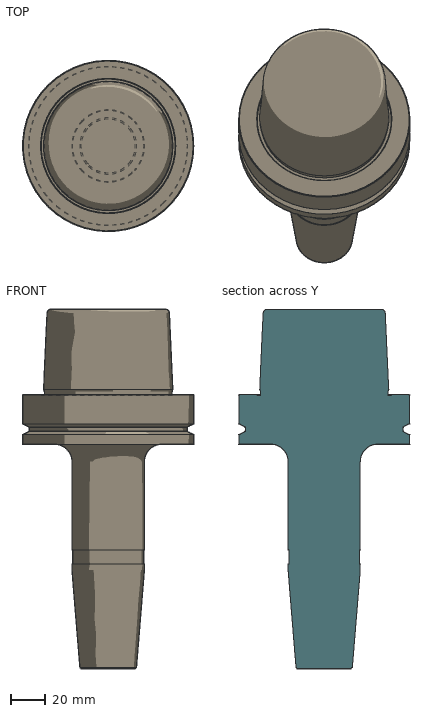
import cadquery as cq

total_height = 210.0

taper_length = 49.7
taper_top_radius = 35.7
taper_base_radius = 37.8
taper_edge_fillet = 2.5

relief_height = 3.0
relief_radius = 37.4
relief_outer_radius = 39.5
relief_depth = 0.6
relief_rim_slope_width = 0.5

flange_radius = 50.0
flange_thickness = 29.2
flange_chamfer = 0.5
groove_floor_radius = 46.2
groove_top_offset = 17.2
groove_floor_top_offset = 19.0
groove_floor_bottom_offset = 21.6
groove_bottom_offset = 23.5
groove_corner_fillet = 0.5

shank_radius = 21.2
shank_fillet = 10.0
neck_radius = 20.8
neck_top = 69.5
neck_bottom = 61.3
nose_top = 57.5
nose_tip_radius = 16.5
nose_chamfer = 0.8

flange_top = total_height - taper_length
flange_bottom = flange_top - flange_thickness


def revolve_outline(outline):
    """Turn a closed (radius, height) outline about the Z axis."""
    return outline.close().revolve(360, (0, 0, 0), (0, 1, 0))


def make_taper():
    taper = revolve_outline(
        cq.Workplane("XZ")
        .moveTo(0, flange_top - relief_depth)
        .lineTo(relief_radius, flange_top - relief_depth)
        .lineTo(relief_radius, flange_top + relief_height / 2)
        .lineTo(taper_base_radius, flange_top + relief_height)
        .lineTo(taper_top_radius, total_height)
        .lineTo(0, total_height)
    )
    return taper.faces(">Z").edges().fillet(taper_edge_fillet)


def make_flange():
    flange = (
        cq.Workplane("XY", origin=(0, 0, flange_bottom))
        .circle(flange_radius)
        .extrude(flange_thickness)
        .faces(">Z")
        .edges()
        .chamfer(flange_chamfer)
    )
    recess_floor_radius = relief_outer_radius - relief_rim_slope_width
    face_recess = revolve_outline(
        cq.Workplane("XZ")
        .moveTo(0, flange_top - relief_depth)
        .lineTo(recess_floor_radius, flange_top - relief_depth)
        .lineTo(relief_outer_radius, flange_top)
        .lineTo(0, flange_top)
    )
    return flange.cut(make_gripper_groove()).cut(face_recess)


def make_gripper_groove():
    groove = revolve_outline(
        cq.Workplane("XZ")
        .moveTo(flange_radius, flange_top - groove_top_offset)
        .lineTo(groove_floor_radius, flange_top - groove_floor_top_offset)
        .lineTo(groove_floor_radius, flange_top - groove_floor_bottom_offset)
        .lineTo(flange_radius, flange_top - groove_bottom_offset)
    )
    floor_edges = groove.edges(cq.selectors.RadiusNthSelector(0))
    return floor_edges.fillet(groove_corner_fillet)


def make_shank():
    return revolve_outline(
        cq.Workplane("XZ")
        .lineTo(nose_tip_radius - nose_chamfer, 0)
        .lineTo(nose_tip_radius, nose_chamfer)
        .lineTo(shank_radius, nose_top)
        .lineTo(shank_radius, neck_bottom)
        .lineTo(neck_radius, neck_bottom)
        .lineTo(neck_radius, neck_top)
        .lineTo(shank_radius, neck_top)
        .lineTo(shank_radius, flange_bottom - shank_fillet)
        .radiusArc((shank_radius + shank_fillet, flange_bottom), shank_fillet)
        .lineTo(0, flange_bottom)
    )


result = make_flange().union(make_taper()).union(make_shank())